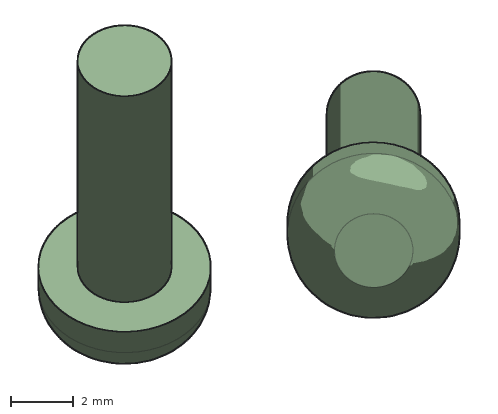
import cadquery as cq

total_length = 12.5
head_diameter = 5.5
head_height = 2.5
head_edge_radius = 1.5
shank_diameter = 3.0
shank_length = total_length - head_height

head = (
    cq.Workplane("XY")
    .circle(head_diameter / 2)
    .extrude(head_height)
    .faces("<Z")
    .edges()
    .fillet(head_edge_radius)
)

result = (
    head.faces(">Z")
    .workplane()
    .circle(shank_diameter / 2)
    .extrude(shank_length)
)